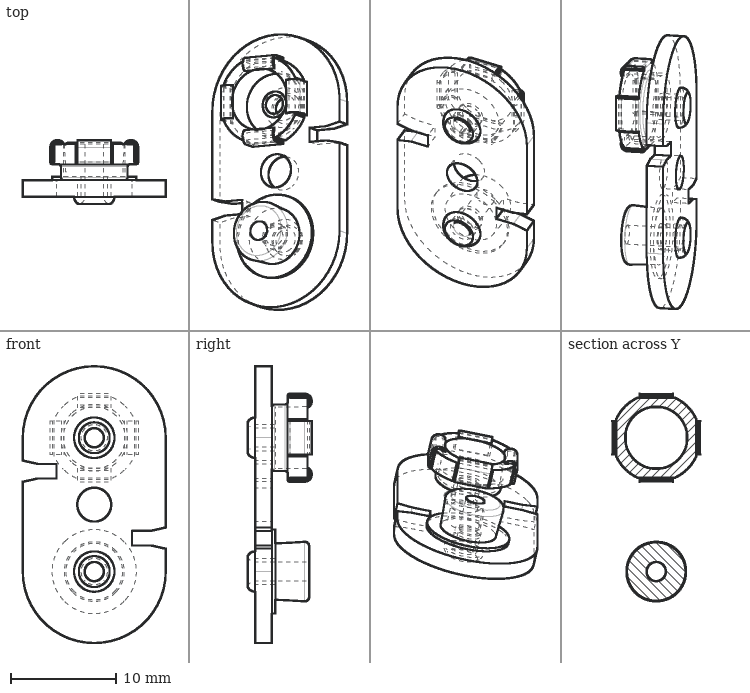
import cadquery as cq
import math


plate_width = 13.59
plate_thickness = 1.6
terminal_pitch = 12.7
terminal_z = terminal_pitch / 2
plate_length = terminal_pitch + plate_width
center_hole_radius = 1.6

slot_depth = 3.2
slot_half_width = 0.68
slot_mouth_depth = 1.42
slot_mouth_half_width = 1.0
slot_z = terminal_pitch / 4

rivet_bore_radius = 0.9
rivet_tube_radius = 1.25
rivet_apex_radius = 1.47
rivet_head_height = 0.7
rivet_head_radius = 1.92

seat_thickness = 0.32
seat_top = plate_thickness + seat_thickness

flange_radius = 4.0
stud_base_radius = 2.69
stud_top_radius = 2.84
stud_mid_radius = 2.75
stud_top = 5.15
stud_round = 0.45

sheet = 0.23
neck_radius = 3.17
neck_round = 0.23
collar_radius = 4.2
collar_bottom = 3.09
collar_top = 5.0
socket_bore_radius = neck_radius - sheet

tab_count = 4
tab_half_width = 1.6
tab_reach = 4.18
tab_gap = 0.14
tab_curl_radius = 0.7
tab_top = 5.39
collar_flat = tab_reach - sheet - tab_gap


def arc_middle(center_x, center_y, radius, degrees):
    """Point on a circle, used as the middle point of an arc."""
    angle = math.radians(degrees)
    return center_x + radius * math.cos(angle), center_y + radius * math.sin(angle)


def revolve_about_y(profile):
    """Turn a closed (radius, Y) profile about the Y axis."""
    return profile.close().revolve(360, (0, 0, 0), (0, 1, 0))


def cylinder_along_y(radius, start_y, end_y):
    """Cylinder about the Y axis between two Y positions."""
    disc = cq.Workplane("XZ", origin=(0, start_y, 0)).circle(radius)
    return disc.extrude(start_y - end_y)


def make_slot_cutter():
    """Flared slot entering the plate from its -X edge."""
    edge = -plate_width / 2
    mouth_end = edge + slot_mouth_depth
    slot_end = edge + slot_depth
    return (
        cq.Workplane("XZ")
        .moveTo(edge, slot_z - slot_mouth_half_width)
        .lineTo(mouth_end, slot_z - slot_half_width)
        .lineTo(slot_end, slot_z - slot_half_width)
        .lineTo(slot_end, slot_z + slot_half_width)
        .lineTo(mouth_end, slot_z + slot_half_width)
        .lineTo(edge, slot_z + slot_mouth_half_width)
        .close()
        .extrude(-plate_thickness)
    )


def make_plate():
    """Round-ended plate with two slots, a center hole and two rivet holes."""
    plate = cq.Workplane("XZ").slot2D(plate_length, plate_width, 90).extrude(-plate_thickness)
    slot = make_slot_cutter()
    for turn in (0, 180):
        plate = plate.cut(slot.rotate((0, 0, 0), (0, 1, 0), turn))
    plate = plate.cut(cylinder_along_y(center_hole_radius, 0, plate_thickness))
    rivet_hole = cylinder_along_y(rivet_tube_radius, 0, plate_thickness)
    for z in (-terminal_z, terminal_z):
        plate = plate.cut(rivet_hole.translate((0, 0, z)))
    return plate


def rolled_side_middle(side_radius):
    """Middle point of the head arc that leaves side_radius along Y and meets the apex circle."""
    inward = rivet_apex_radius - side_radius
    arc_radius = (inward**2 + rivet_head_height**2) / (2 * abs(inward))
    half_sweep = math.asin(rivet_head_height / arc_radius) / 2
    middle_radius = side_radius + math.copysign(arc_radius * (1 - math.cos(half_sweep)), inward)
    return middle_radius, -arc_radius * math.sin(half_sweep)


def make_rivet():
    """Hollow rivet with a rolled head on the -Y face of the plate."""
    profile = (
        cq.Workplane("XY")
        .moveTo(rivet_bore_radius, seat_top)
        .lineTo(rivet_tube_radius, seat_top)
        .lineTo(rivet_tube_radius, 0)
        .lineTo(rivet_head_radius, 0)
        .threePointArc(
            rolled_side_middle(rivet_head_radius),
            (rivet_apex_radius, -rivet_head_height),
        )
        .threePointArc(rolled_side_middle(rivet_bore_radius), (rivet_bore_radius, 0))
    )
    return revolve_about_y(profile)


def make_stud():
    """Waisted stud on a thin flange, seated on the rivet tube and bored through."""
    round_start_y = stud_top - stud_round
    round_center_radius = stud_top_radius - stud_round
    profile = (
        cq.Workplane("XY")
        .moveTo(rivet_tube_radius, plate_thickness)
        .lineTo(flange_radius, plate_thickness)
        .lineTo(flange_radius, seat_top)
        .lineTo(stud_base_radius, seat_top)
        .threePointArc(
            (stud_mid_radius, (seat_top + round_start_y) / 2),
            (stud_top_radius, round_start_y),
        )
        .threePointArc(
            arc_middle(round_center_radius, round_start_y, stud_round, 45),
            (round_center_radius, stud_top),
        )
        .lineTo(rivet_bore_radius, stud_top)
        .lineTo(rivet_bore_radius, seat_top)
        .lineTo(rivet_tube_radius, seat_top)
    )
    return revolve_about_y(profile)


def make_collar():
    """Cup and collar, flattened behind each tab."""
    flare_radius = neck_radius + neck_round
    flare_start_y = collar_bottom - neck_round
    base_round_y = plate_thickness + neck_round
    base_radius = neck_radius - neck_round
    profile = (
        cq.Workplane("XY")
        .moveTo(rivet_tube_radius, plate_thickness)
        .lineTo(base_radius, plate_thickness)
        .threePointArc(
            arc_middle(base_radius, base_round_y, neck_round, -45),
            (neck_radius, base_round_y),
        )
        .lineTo(neck_radius, flare_start_y)
        .threePointArc(
            arc_middle(flare_radius, flare_start_y, neck_round, 135),
            (flare_radius, collar_bottom),
        )
        .lineTo(collar_radius, collar_bottom)
        .lineTo(collar_radius, collar_top)
        .lineTo(socket_bore_radius, collar_top)
        .lineTo(socket_bore_radius, seat_top)
        .lineTo(rivet_tube_radius, seat_top)
    )
    flats = cq.Workplane("XZ").rect(2 * collar_flat, 2 * collar_flat).extrude(-collar_top)
    return revolve_about_y(profile).intersect(flats)


def make_tab():
    """Sheet tab on the +X side: foot, bend, upright and curl down to the collar top."""
    bend_x = tab_reach - sheet
    bend_y = collar_bottom + sheet
    curl_x = tab_reach - tab_curl_radius
    curl_y = tab_top - tab_curl_radius
    curl_inner_radius = tab_curl_radius - sheet
    collar_height = collar_top - curl_y
    outer_end_x = curl_x - math.sqrt(tab_curl_radius**2 - collar_height**2)
    inner_end_x = curl_x - math.sqrt(curl_inner_radius**2 - collar_height**2)
    foot_x = neck_radius + neck_round
    return (
        cq.Workplane("XY", origin=(0, 0, -tab_half_width))
        .moveTo(foot_x, collar_bottom)
        .lineTo(bend_x, collar_bottom)
        .threePointArc(arc_middle(bend_x, bend_y, sheet, -45), (tab_reach, bend_y))
        .lineTo(tab_reach, curl_y)
        .threePointArc((curl_x, tab_top), (outer_end_x, collar_top))
        .lineTo(inner_end_x, collar_top)
        .threePointArc((curl_x, tab_top - sheet), (curl_x + curl_inner_radius, curl_y))
        .lineTo(bend_x, bend_y)
        .lineTo(foot_x, bend_y)
        .close()
        .extrude(2 * tab_half_width)
    )


def make_socket():
    """Collar with its ring of tabs as one solid."""
    socket = make_collar()
    tab = make_tab()
    for index in range(tab_count):
        socket = socket.union(tab.rotate((0, 0, 0), (0, 1, 0), index * 360 / tab_count))
    return socket


plate = make_plate()
rivet = make_rivet()
rivets = [rivet.translate((0, 0, z)) for z in (-terminal_z, terminal_z)]
stud = make_stud().translate((0, 0, -terminal_z))
socket = make_socket().translate((0, 0, terminal_z))

result = cq.Compound.makeCompound(
    [plate.val(), *[rivet_copy.val() for rivet_copy in rivets], stud.val(), socket.val()]
)